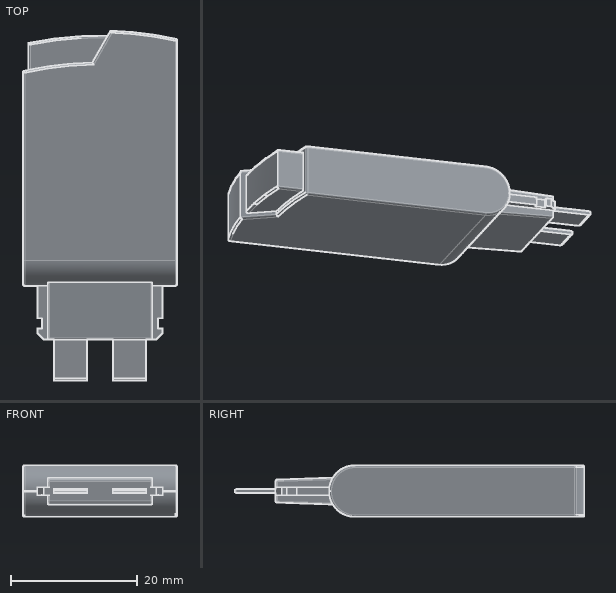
import cadquery as cq
import math

case_width = 24.4
case_height = 8.2
case_front = 14.95
rear_radius = 55.4
rear_peak = 55.4
case_edge_radius = 0.35
half_width = case_width / 2
half_height = case_height / 2
nose_center = case_front + half_height

groove_depth = 0.15

step_crown = 50.35
step_inner_x = -1.2
step_outer_x = 1.65

tab_inset = 0.85
tab_crown = 54.6
tab_front = 44.3
tab_side = half_width - tab_inset
tab_height = case_height - 2 * tab_inset
tab_overlap_x = 4.45

neck_front = 6.5
neck_width = 16.6
neck_root_height = 4.55
neck_front_height = 3.65
neck_edge_radius = 0.3

flange_width = 19.8
flange_height = 1.3
flange_chamfer = 1.0
notch_depth = 0.7
notch_front = 8.25
notch_length = 1.6

blade_width = 5.25
blade_thickness = 0.65
blade_spacing = 9.35
blade_chamfer_length = 0.35
blade_chamfer_depth = 0.15


def bow(crown, x):
    """Y of a rear arc, centred on the middle plane, at position x."""
    return crown - rear_radius + math.sqrt(rear_radius**2 - x**2)


def arc_to(sketch, crown, start_x, end_x):
    """Continue an outline along a rear arc from start_x to end_x."""
    middle_x = (start_x + end_x) / 2
    return sketch.threePointArc((middle_x, bow(crown, middle_x)), (end_x, bow(crown, end_x)))


def make_case():
    crown = rear_peak + rear_radius - math.sqrt(rear_radius**2 - step_outer_x**2)
    outline = (
        cq.Workplane("XY", origin=(0, 0, -half_height))
        .moveTo(-half_width, case_front)
        .lineTo(half_width, case_front)
        .lineTo(half_width, bow(crown, half_width))
    )
    outline = arc_to(outline, crown, half_width, step_outer_x)
    outline = outline.lineTo(step_inner_x, bow(step_crown, step_inner_x))
    outline = arc_to(outline, step_crown, step_inner_x, -half_width)
    plan = outline.close().extrude(case_height)

    profile = (
        cq.Workplane("YZ", origin=(-half_width, 0, 0))
        .moveTo(nose_center, half_height)
        .threePointArc((case_front, 0), (nose_center, -half_height))
        .lineTo(rear_peak, -half_height)
        .lineTo(rear_peak, half_height)
        .close()
        .extrude(case_width)
    )
    case = plan.intersect(profile)
    side_edges = case.faces("<X or >X").edges()
    flat_face_edges = case.faces("<Z or >Z").edges().edges("not <Y")
    return case.newObject(side_edges.add(flat_face_edges).vals()).fillet(case_edge_radius)


def make_parting_groove():
    return (
        cq.Workplane("YZ", origin=(-half_width, 0, 0))
        .moveTo(case_front - groove_depth, -groove_depth)
        .lineTo(case_front + groove_depth, 0)
        .lineTo(case_front - groove_depth, groove_depth)
        .close()
        .extrude(case_width)
    )


def make_tab():
    outline = (
        cq.Workplane("XY", origin=(0, 0, -tab_height / 2))
        .moveTo(-tab_side, tab_front)
        .lineTo(tab_overlap_x, tab_front)
        .lineTo(tab_overlap_x, bow(tab_crown, tab_overlap_x))
    )
    outline = arc_to(outline, tab_crown, tab_overlap_x, -tab_side)
    tab = outline.close().extrude(tab_height)
    return tab.faces("<Z or >Z").edges().fillet(case_edge_radius)


def make_neck():
    profile = (
        cq.Workplane("YZ", origin=(-neck_width / 2, 0, 0))
        .moveTo(neck_front, -neck_front_height / 2)
        .lineTo(nose_center, -neck_root_height / 2)
        .lineTo(nose_center, neck_root_height / 2)
        .lineTo(neck_front, neck_front_height / 2)
        .close()
    )
    neck = profile.extrude(neck_width)
    return neck.edges("not >Y").fillet(neck_edge_radius)


def make_flange():
    length = nose_center - neck_front
    flange = (
        cq.Workplane("XY")
        .box(flange_width, length, flange_height, centered=(True, False, True))
        .translate((0, neck_front, 0))
        .edges("|Z and <Y")
        .chamfer(flange_chamfer)
    )
    notches = (
        cq.Workplane("XY")
        .pushPoints([(side * flange_width / 2, notch_front + notch_length / 2) for side in (-1, 1)])
        .box(2 * notch_depth, notch_length, flange_height)
    )
    return flange.cut(notches)


def make_blade(center_x):
    blade = cq.Workplane("XY").box(
        blade_width, nose_center, blade_thickness, centered=(True, False, True)
    )
    blade = blade.faces("<Y").edges("|X").chamfer(blade_chamfer_depth, blade_chamfer_length)
    return blade.translate((center_x, 0, 0))


result = make_case().cut(make_parting_groove())
result = result.union(make_tab()).union(make_neck()).union(make_flange())
for side in (-1, 1):
    result = result.union(make_blade(side * blade_spacing / 2))